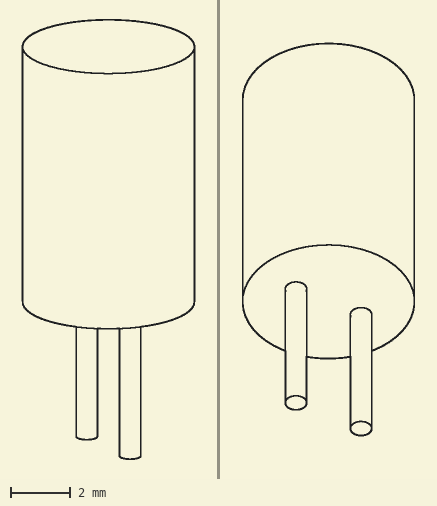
import cadquery as cq

total_height = 14.12

housing_diameter = 5.78
housing_height = 9.02

pin_diameter = 0.72
pin_spacing = 2.54
pin_length = total_height - housing_height


def make_housing():
    """Plain cylinder standing on the pin plane at Z = 0."""
    return cq.Workplane("XY").circle(housing_diameter / 2).extrude(housing_height)


def make_pin(x):
    """Straight round pin hanging from the flat underside of the housing."""
    return cq.Workplane("XY").center(x, 0).circle(pin_diameter / 2).extrude(-pin_length)


housing = make_housing()
pins = [make_pin(side * pin_spacing / 2) for side in (-1, 1)]

result = cq.Compound.makeCompound([housing.val(), *[pin.val() for pin in pins]])